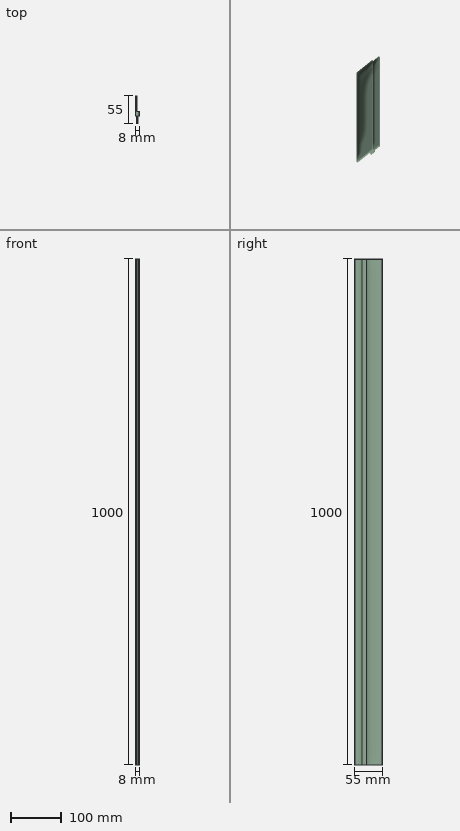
import cadquery as cq

length = 1000.0
width = 8.0
depth = 55.0

plate_thickness = 3.0
tongue_thickness = 3.0
tongue_depth = 15.0
body_height = 9.0

left = -width / 2
right = width / 2
front = -depth / 2
back = depth / 2
shoulder = front + tongue_depth
body_top = shoulder + body_height
plate_right = left + plate_thickness
tongue_right = tongue_thickness / 2
tongue_left = -tongue_right

section = [
    (tongue_left, front),
    (tongue_right, front),
    (tongue_right, shoulder),
    (right, shoulder),
    (right, body_top),
    (plate_right, body_top),
    (plate_right, back),
    (left, back),
    (left, shoulder),
    (tongue_left, shoulder),
]

strip_base = cq.Workplane("XY").workplane(offset=-length / 2)
result = strip_base.polyline(section).close().extrude(length)